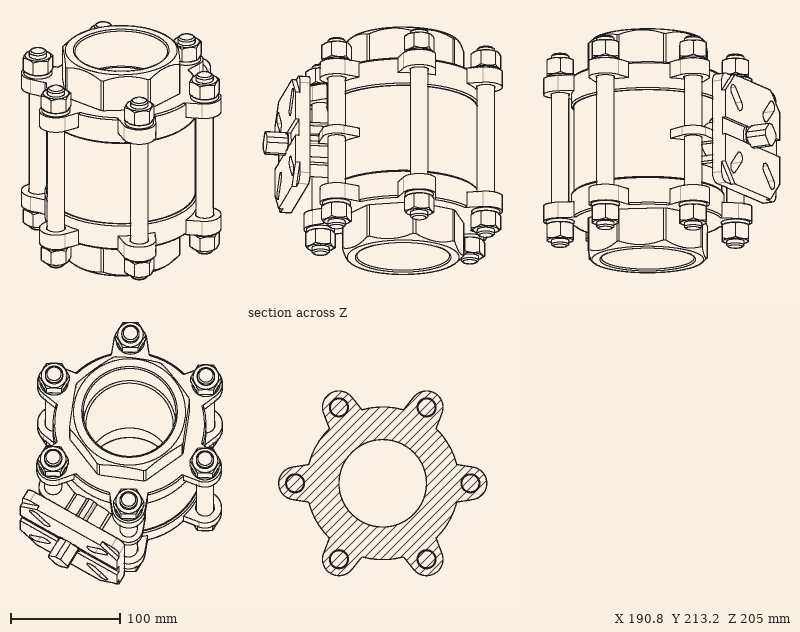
import cadquery as cq
import math


HALF_LENGTH = 102.5
OVERALL_X = 190.8
OVERALL_Y = 213.2

BODY_DIAMETER = 135.5
COLLAR_DIAMETER = 140.0
COLLAR_CHAMFER = 1.5
COLLAR_INNER_Z = 41.0
BORE_DIAMETER = 80.0
THREAD_DIAMETER = 84.8
THREAD_DEPTH = 37.0
THREAD_CHAMFER = 1.39

FLANGE_INNER_Z = 52.5
FLANGE_OUTER_Z = 67.2
FLANGE_CHAMFER = 1.5
OCTAGON_SIDES = 8
OCTAGON_FLATS = 105.0
OCTAGON_CORNER_DIAMETER = 112.8
END_CHAMFER = 5.1

STUD_COUNT = 6
STUD_DIAMETER = 16.0
STUD_HOLE_DIAMETER = 17.0
STUD_HALF_LENGTH = 90.0
STUD_CHAMFER = 1.5
NUT_SIDES = 6
NUT_FLATS = 24.0
NUT_CHAMFER_DIAMETER = 23.5
NUT_CHAMFER_DEGREES = 30
NUT_OUTER_Z = 84.8
WASHER_DIAMETER = 26.0
WASHER_THICKNESS = 2.5
WASHER_ROUNDING = 2.3

LUG_RADIUS = 15.1
STUD_CIRCLE_RADIUS = OVERALL_X / 2 - LUG_RADIUS
LUG_FLARE_DEGREES = 9.0
EAR_RADIUS = 13.0
EAR_THICKNESS = 8.0

NECK_RADIUS = 18.1
NECK_START_Y = 53.3
RIB_REACH = 21.5
RIB_TOP_WIDTH = 5.1
RIB_BASE_WIDTH = 11.0
RIB_SHOULDER_WIDTH = 8.5
RIB_SHOULDER_REACH = 19.5
RIB_BASE_REACH = 17.3
FOOT_WIDTH = 39.0
FOOT_TOP_Z = -17.3
FOOT_BOTTOM_Z = -24.0
FOOT_CHAMFER = 1.7

PLATE_SIDE = 103.0
PLATE_INNER_Y = 96.1
PLATE_OUTER_Y = 109.8
PLATE_CORNER_RADIUS = 8.3
RAISED_HEIGHT = 4.0
RAISED_CORNER_CUT = 18.0
GROOVE_WIDTH = 15.8
GROOVE_DEPTH = 3.5
PLATE_SLOT_WIDTH = 10.2
PLATE_SLOT_INNER_RADIUS = 35.0
PLATE_SLOT_OUTER_RADIUS = 51.4

STEM_FLATS = 18.0
STEM_WIDTH = 20.3
STEM_SHOULDER_DIAMETER = 23.5
STEM_SHOULDER_DROP = 0.9


def polar(radius, degrees):
    angle = math.radians(degrees)
    return radius * math.cos(angle), radius * math.sin(angle)


STUD_ANGLES = [360 / STUD_COUNT * i for i in range(STUD_COUNT)]
STUD_POINTS = [polar(STUD_CIRCLE_RADIUS, angle) for angle in STUD_ANGLES]
STEM_TOP_Y = OVERALL_Y - LUG_RADIUS + min(y for _, y in STUD_POINTS)


def cylinder_z(diameter, bottom, top):
    return cq.Workplane("XY").workplane(offset=bottom).circle(diameter / 2).extrude(top - bottom)


def prism_y(outline, start, end):
    """Prism along +Y from a closed (x, z) outline."""
    return cq.Workplane("XZ", origin=(0, start, 0)).polyline(outline).close().extrude(start - end)


def cylinder_y(diameter, start, end):
    return cq.Workplane("XZ", origin=(0, start, 0)).circle(diameter / 2).extrude(start - end)


def box_between(x_range, y_range, z_range):
    lengths = [high - low for low, high in (x_range, y_range, z_range)]
    middles = [(high + low) / 2 for low, high in (x_range, y_range, z_range)]
    return cq.Workplane("XY").box(*lengths).translate(tuple(middles))


def lug(radius, angle, bottom, top):
    """Round-ended lug whose flared sides run tangentially from the stud inwards to the body."""
    flare = math.radians(LUG_FLARE_DEGREES)
    root_x = BODY_DIAMETER / 2 - radius / 2
    tangent_x = STUD_CIRCLE_RADIUS + radius * math.sin(flare)
    tangent_y = radius * math.cos(flare)
    root_y = tangent_y + (tangent_x - root_x) * math.tan(flare)
    return (
        cq.Workplane("XY")
        .workplane(offset=bottom)
        .moveTo(root_x, -root_y)
        .lineTo(tangent_x, -tangent_y)
        .threePointArc((STUD_CIRCLE_RADIUS + radius, 0), (tangent_x, tangent_y))
        .lineTo(root_x, root_y)
        .close()
        .extrude(top - bottom)
        .rotate((0, 0, 0), (0, 0, 1), angle)
    )


def both_ends(upper):
    return upper.union(upper.mirror("XY"))


def make_body():
    barrel = cylinder_z(BODY_DIAMETER, -FLANGE_INNER_Z, FLANGE_INNER_Z)
    collar = cylinder_z(COLLAR_DIAMETER, COLLAR_INNER_Z, FLANGE_INNER_Z).faces("<Z").chamfer(COLLAR_CHAMFER)
    return barrel.union(both_ends(collar))


def make_end_cap():
    disc = cylinder_z(COLLAR_DIAMETER, FLANGE_INNER_Z, FLANGE_OUTER_Z).faces(">Z").chamfer(FLANGE_CHAMFER)
    for angle in STUD_ANGLES:
        disc = disc.union(lug(LUG_RADIUS, angle, FLANGE_INNER_Z, FLANGE_OUTER_Z))
    disc = disc.cut(
        cq.Workplane("XY")
        .workplane(offset=FLANGE_INNER_Z)
        .pushPoints(STUD_POINTS)
        .circle(STUD_HOLE_DIAMETER / 2)
        .extrude(FLANGE_OUTER_Z - FLANGE_INNER_Z)
    )
    octagon = (
        cq.Workplane("XY")
        .workplane(offset=FLANGE_INNER_Z)
        .polygon(OCTAGON_SIDES, OCTAGON_FLATS, circumscribed=True)
        .extrude(HALF_LENGTH - FLANGE_INNER_Z)
        .rotate((0, 0, 0), (0, 0, 1), 180 / OCTAGON_SIDES)
    )
    turned = cylinder_z(OCTAGON_CORNER_DIAMETER, FLANGE_INNER_Z, HALF_LENGTH).faces(">Z").chamfer(END_CHAMFER)
    return disc.union(octagon.intersect(turned))


def make_nut():
    """Hexagon nut on a rounded washer, seated on the outer flange face."""
    washer_top = FLANGE_OUTER_Z + WASHER_THICKNESS
    washer = cylinder_z(WASHER_DIAMETER, FLANGE_OUTER_Z, washer_top).faces(">Z").edges().fillet(WASHER_ROUNDING)
    hexagon = (
        cq.Workplane("XY")
        .workplane(offset=washer_top)
        .polygon(NUT_SIDES, NUT_FLATS, circumscribed=True)
        .extrude(NUT_OUTER_Z - washer_top)
    )
    corner_diameter = NUT_FLATS / math.cos(math.pi / NUT_SIDES)
    chamfer_width = (corner_diameter - NUT_CHAMFER_DIAMETER) / 2
    chamfer_height = chamfer_width * math.tan(math.radians(NUT_CHAMFER_DEGREES))
    envelope = (
        cylinder_z(corner_diameter, washer_top, NUT_OUTER_Z)
        .faces("<Z or >Z")
        .chamfer(chamfer_height, chamfer_width)
    )
    return washer.union(hexagon.intersect(envelope))


def make_stud():
    rod = cylinder_z(STUD_DIAMETER, -STUD_HALF_LENGTH, STUD_HALF_LENGTH).faces("<Z or >Z").chamfer(STUD_CHAMFER)
    return rod.union(both_ends(make_nut()))


def make_ears():
    """Two lugs at mid height around the studs beside the neck, joined by a straight web."""
    bottom, top = -EAR_THICKNESS / 2, EAR_THICKNESS / 2
    stud_x, stud_y = polar(STUD_CIRCLE_RADIUS, STUD_ANGLES[1])
    ears = box_between((-stud_x, stud_x), (NECK_START_Y, stud_y + EAR_RADIUS), (bottom, top))
    for angle in STUD_ANGLES[1:3]:
        ears = ears.union(lug(EAR_RADIUS, angle, bottom, top))
    return ears


def make_neck():
    neck = cylinder_y(2 * NECK_RADIUS, NECK_START_Y, PLATE_INNER_Y)
    foot = box_between(
        (-FOOT_WIDTH / 2, FOOT_WIDTH / 2), (NECK_START_Y, PLATE_INNER_Y), (FOOT_BOTTOM_Z, FOOT_TOP_Z)
    )
    neck = neck.union(foot.edges("|Y and <Z").chamfer(FOOT_CHAMFER))
    right_flank = [
        (RIB_TOP_WIDTH / 2, RIB_REACH),
        (RIB_SHOULDER_WIDTH / 2, RIB_SHOULDER_REACH),
        (RIB_BASE_WIDTH / 2, RIB_BASE_REACH),
        (RIB_BASE_WIDTH / 2, 0),
    ]
    left_flank = [(-x, z) for x, z in reversed(right_flank)]
    rib = prism_y(right_flank + left_flank, NECK_START_Y, PLATE_INNER_Y)
    for angle in (-90, 0, 90):
        neck = neck.union(rib.rotate((0, 0, 0), (0, 1, 0), angle))
    return neck


def make_plate():
    half = PLATE_SIDE / 2
    raised_y = PLATE_OUTER_Y - RAISED_HEIGHT
    base = box_between((-half, half), (PLATE_INNER_Y, raised_y), (-half, half))
    base = base.edges("|Y").fillet(PLATE_CORNER_RADIUS)
    raised = box_between((-half, half), (raised_y, PLATE_OUTER_Y), (-half, half))
    raised = raised.edges("|Y").chamfer(RAISED_CORNER_CUT)
    plate = base.union(raised)
    plate = plate.cut(
        box_between(
            (-half, half),
            (PLATE_OUTER_Y - GROOVE_DEPTH, PLATE_OUTER_Y),
            (-GROOVE_WIDTH / 2, GROOVE_WIDTH / 2),
        )
    )
    slot_middle = (PLATE_SLOT_INNER_RADIUS + PLATE_SLOT_OUTER_RADIUS) / 2
    slot_length = PLATE_SLOT_OUTER_RADIUS - PLATE_SLOT_INNER_RADIUS + PLATE_SLOT_WIDTH
    for angle in (45, 135, 225, 315):
        slot = (
            cq.Workplane("XZ", origin=(0, PLATE_INNER_Y, 0))
            .center(slot_middle, 0)
            .slot2D(slot_length, PLATE_SLOT_WIDTH)
            .extrude(PLATE_INNER_Y - PLATE_OUTER_Y)
            .rotate((0, 0, 0), (0, 1, 0), angle)
        )
        plate = plate.cut(slot)
    return plate


def make_stem():
    """Square drive standing on its corner, with the four corners cut flat, above a round shoulder."""
    half_diagonal = STEM_FLATS / math.sqrt(2)
    reach = STEM_WIDTH / 2
    facet = half_diagonal - reach
    outline = [
        (reach, facet), (facet, reach), (-facet, reach), (-reach, facet),
        (-reach, -facet), (-facet, -reach), (facet, -reach), (reach, -facet),
    ]
    shoulder = cylinder_y(STEM_SHOULDER_DIAMETER, PLATE_INNER_Y, PLATE_OUTER_Y - STEM_SHOULDER_DROP)
    return prism_y(outline, PLATE_INNER_Y, STEM_TOP_Y).union(shoulder)


def make_bore():
    bore = cylinder_z(BORE_DIAMETER, -HALF_LENGTH, HALF_LENGTH)
    thread = cylinder_z(THREAD_DIAMETER, HALF_LENGTH - THREAD_DEPTH, HALF_LENGTH)
    thread_radius = THREAD_DIAMETER / 2
    mouth = cq.Workplane("XY").add(
        cq.Solid.makeCone(
            thread_radius,
            thread_radius + THREAD_CHAMFER,
            THREAD_CHAMFER,
            pnt=cq.Vector(0, 0, HALF_LENGTH - THREAD_CHAMFER),
        )
    )
    return bore.union(both_ends(thread.union(mouth)))


result = make_body().union(both_ends(make_end_cap())).union(make_ears())
result = result.union(make_neck()).union(make_plate()).union(make_stem()).cut(make_bore())

stud = make_stud()
for x, y in STUD_POINTS:
    result = result.union(stud.translate((x, y, 0)))